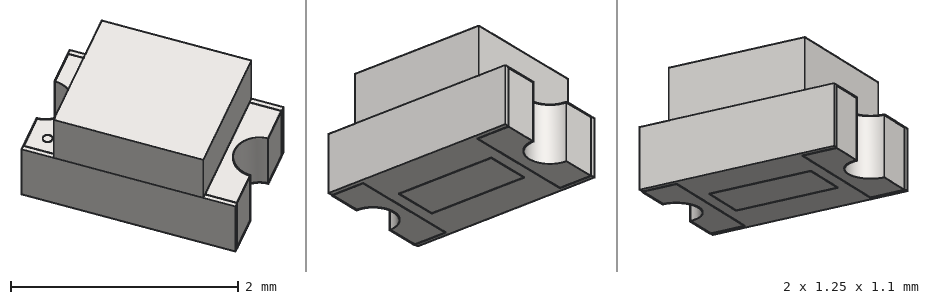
import cadquery as cq

LENGTH = 2.0
WIDTH = 1.25
BASE_TOP = 0.6
LENS_LENGTH = 1.4
LENS_HEIGHT = 0.5

PLATING = 0.005
TERMINAL_WIDTH = 1.155
PAD_LENGTH = 0.355
NOTCH_RADIUS = 0.23

DOT_DIAMETER = 0.085
DOT_HEIGHT = 0.005
DOT_X = -0.825
DOT_Y = -0.43

MARK_LENGTH = 1.045
MARK_WIDTH = 2 * NOTCH_RADIUS

END_X = LENGTH / 2
TOP_REACH = (LENGTH - LENS_LENGTH) / 2


def block(x_min, x_max, width, z_min, z_max):
    """Box centred on Y between the given X and Z limits."""
    return (
        cq.Workplane("XY", origin=((x_min + x_max) / 2, 0, z_min))
        .box(x_max - x_min, width, z_max - z_min, centered=(True, True, False))
    )


def end_cylinder(radius):
    """Full-height cylinder on the middle of the -X end face."""
    return cq.Workplane("XY", origin=(-END_X, 0, 0)).circle(radius).extrude(BASE_TOP)


def make_left_terminal():
    """Plating over the top, end, notch wall and underside of the -X end."""
    top = block(-END_X, -END_X + TOP_REACH, TERMINAL_WIDTH, BASE_TOP - PLATING, BASE_TOP)
    end = block(-END_X, -END_X + PLATING, TERMINAL_WIDTH, 0, BASE_TOP)
    pad = block(-END_X, -END_X + PAD_LENGTH, TERMINAL_WIDTH, 0, PLATING)
    half_space = block(-END_X, 0, WIDTH, 0, BASE_TOP)
    notch_wall = end_cylinder(NOTCH_RADIUS + PLATING).intersect(half_space)
    return top.union(end).union(pad).union(notch_wall).cut(end_cylinder(NOTCH_RADIUS))


def make_terminals():
    """The same terminal at both ends, half a turn apart."""
    left = make_left_terminal()
    return [left.rotate((0, 0, 0), (0, 0, 1), angle) for angle in (0, 180)]


def make_board(terminals):
    """Board with round end notches, recessed where the terminals lie."""
    board = block(-END_X, END_X, WIDTH, PLATING, BASE_TOP)
    notch = end_cylinder(NOTCH_RADIUS)
    board = board.cut(notch).cut(notch.mirror("YZ"))
    for terminal in terminals:
        board = board.cut(terminal)
    return board


def make_lens():
    """Rectangular lens across the full board width."""
    return block(-LENS_LENGTH / 2, LENS_LENGTH / 2, WIDTH, BASE_TOP, BASE_TOP + LENS_HEIGHT)


def make_dot():
    """Small raised dot on top of the -X terminal."""
    return (
        cq.Workplane("XY", origin=(DOT_X, DOT_Y, BASE_TOP))
        .circle(DOT_DIAMETER / 2)
        .extrude(DOT_HEIGHT)
    )


def make_polarity_mark():
    """Flat mark under the board, level with the pads."""
    return block(-MARK_LENGTH / 2, MARK_LENGTH / 2, MARK_WIDTH, 0, PLATING)


terminals = make_terminals()
board = make_board(terminals)
lens = make_lens()
dot = make_dot()
polarity_mark = make_polarity_mark()

result = cq.Compound.makeCompound([
    board.solids().val(),
    lens.val(),
    *[terminal.solids().val() for terminal in terminals],
    dot.val(),
    polarity_mark.val(),
])